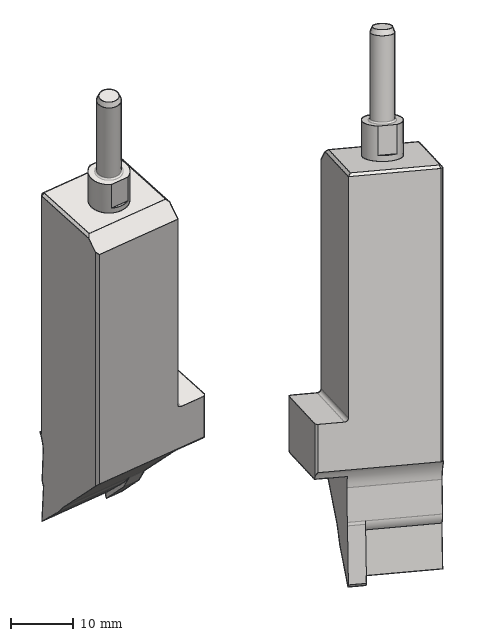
import cadquery as cq
import math

WIDTH = 16.0
DEPTH = 16.0
TOP_Z = 70.0
EDGE_CHAMFER = 0.5
CORNER_X = 2.8
CORNER_Z = 2.5

SLOPE_START_Z = 19.5
SLOPE_END = (6.6, 8.6)
RELIEF_TOP_Z = 19.9
NECK_TOP = (0.9, 16.6)
NECK_BOTTOM = (0.6, 10.8)
FLANK_TOP = (1.0, 9.2)
NOSE_POINT = (0.55, 1.6)
NOSE_RELIEF = (5.1, 6.6)

TIP_THICKNESS = 3.0
TIP_POINT = (0.3, 0.0)
TIP_EDGE_BOTTOM = (0.0, 0.5)
TIP_EDGE_TOP = (0.55, 10.3)
TIP_HEEL = (5.05, 5.6)

TOTAL_DEPTH = 21.5
LUG_BOTTOM_Z = 18.6
LUG_TOP_Z = 28.1
LUG_FILLET = 0.6
LUG_CHAMFER = 0.4

SCREW_X = WIDTH / 2
SCREW_Y = DEPTH / 2
SCREW_TOP_Z = 91.75
COLLAR_DIAMETER = 6.8
COLLAR_HEIGHT = 6.0
FLAT_WIDTH = 6.0
FLAT_BASE = 1.0
ROD_DIAMETER = 4.0
ROD_FILLET = 0.3
ROD_CHAMFER_DEPTH = 0.9
ROD_CHAMFER_INSET = 0.4


def extrude_along_y(outline, start_y, end_y):
    """Extrude an XZ outline in +Y from start_y to end_y."""
    return outline.extrude(start_y - end_y).translate((0, start_y, 0))


def arc_middle(start, end, bulge):
    """Middle point of an arc, offset to the left of the chord by bulge."""
    dx = end[0] - start[0]
    dz = end[1] - start[1]
    length = math.hypot(dx, dz)
    middle_x = (start[0] + end[0]) / 2 - bulge * dz / length
    middle_z = (start[1] + end[1]) / 2 + bulge * dx / length
    return (middle_x, middle_z)


def make_block():
    """Upper block with chamfered -Y/-X edge, top edges and upper +X corner."""
    height = TOP_Z - RELIEF_TOP_Z
    block = cq.Workplane("XY").box(WIDTH, DEPTH, height, centered=False)
    block = block.faces("<Y").edges("|Z and <X").chamfer(EDGE_CHAMFER).translate((0, 0, RELIEF_TOP_Z))
    block = block.faces(">Z").edges().chamfer(EDGE_CHAMFER)
    bevel = cq.Workplane("XZ").polyline([
        (WIDTH - CORNER_X, TOP_Z),
        (WIDTH, TOP_Z),
        (WIDTH, TOP_Z - CORNER_Z),
    ]).close()
    return block.cut(extrude_along_y(bevel, 0, DEPTH))


def nose_outline():
    """Sloped nose with a concave relief and a stepped flank on its -X side."""
    relief_bulge = 0.23
    flank_bulge = 0.14
    relief_top = (0, RELIEF_TOP_Z)
    return (
        cq.Workplane("XZ")
        .moveTo(*relief_top)
        .threePointArc(arc_middle(relief_top, NECK_TOP, relief_bulge), NECK_TOP)
        .lineTo(*NECK_BOTTOM)
        .threePointArc(arc_middle(NECK_BOTTOM, FLANK_TOP, -flank_bulge), FLANK_TOP)
        .lineTo(*NOSE_POINT)
        .lineTo(*NOSE_RELIEF)
        .lineTo(*SLOPE_END)
        .lineTo(WIDTH, SLOPE_START_Z)
        .lineTo(WIDTH, RELIEF_TOP_Z)
        .close()
    )


def make_tip():
    """Thin cutting tip that stands proud of the nose."""
    outline = cq.Workplane("XZ").polyline([
        TIP_POINT,
        TIP_EDGE_BOTTOM,
        TIP_EDGE_TOP,
        NECK_BOTTOM,
        SLOPE_END,
        TIP_HEEL,
    ]).close()
    return extrude_along_y(outline, DEPTH - TIP_THICKNESS, DEPTH)


def make_lug():
    """Hook lug on the +Y side, trimmed by the nose outline at its lower end."""
    nose_part = extrude_along_y(nose_outline(), DEPTH, TOTAL_DEPTH)
    below_lug = cq.Workplane("XY").box(WIDTH, TOTAL_DEPTH, LUG_BOTTOM_Z, centered=False)
    upper_part = (
        cq.Workplane("XY")
        .box(WIDTH, TOTAL_DEPTH - DEPTH, LUG_TOP_Z - RELIEF_TOP_Z, centered=False)
        .translate((0, DEPTH, RELIEF_TOP_Z))
    )
    lug = upper_part.union(nose_part.cut(below_lug))
    return lug.faces(">Y").edges("|Z").chamfer(LUG_CHAMFER)


def make_lug_fillet():
    """Concave fillet between the block and the top of the lug."""
    corner_y = DEPTH + LUG_FILLET
    corner_z = LUG_TOP_Z + LUG_FILLET
    outline = (
        cq.Workplane("YZ")
        .moveTo(DEPTH, LUG_TOP_Z)
        .lineTo(corner_y, LUG_TOP_Z)
        .radiusArc((DEPTH, corner_z), LUG_FILLET)
        .close()
    )
    return outline.extrude(WIDTH)


def make_long_edge_chamfer():
    """Material removed along the whole -Y/+X edge, down to the slope."""
    outline = cq.Workplane("XY").polyline([
        (WIDTH - EDGE_CHAMFER, 0),
        (WIDTH, 0),
        (WIDTH, EDGE_CHAMFER),
    ]).close()
    return outline.extrude(TOP_Z)


def make_holder():
    nose = extrude_along_y(nose_outline(), 0, DEPTH)
    holder = make_block().union(nose).union(make_tip()).union(make_lug())
    return holder.union(make_lug_fillet()).cut(make_long_edge_chamfer())


def make_screw():
    """Rod on a collar with two flats facing -X and +X."""
    collar = cq.Workplane("XY").circle(COLLAR_DIAMETER / 2).extrude(COLLAR_HEIGHT)
    flat_height = COLLAR_HEIGHT - FLAT_BASE
    across_flats = (
        cq.Workplane("XY")
        .box(FLAT_WIDTH, COLLAR_DIAMETER, flat_height, centered=(True, True, False))
        .translate((0, 0, FLAT_BASE))
    )
    base = cq.Workplane("XY").circle(COLLAR_DIAMETER / 2).extrude(FLAT_BASE)
    collar = collar.intersect(across_flats).union(base)

    radius = ROD_DIAMETER / 2
    rod_top = SCREW_TOP_Z - TOP_Z
    rod = (
        cq.Workplane("XZ")
        .moveTo(0, COLLAR_HEIGHT)
        .lineTo(radius + ROD_FILLET, COLLAR_HEIGHT)
        .radiusArc((radius, COLLAR_HEIGHT + ROD_FILLET), ROD_FILLET)
        .lineTo(radius, rod_top - ROD_CHAMFER_DEPTH)
        .lineTo(radius - ROD_CHAMFER_INSET, rod_top)
        .lineTo(0, rod_top)
        .close()
        .revolve(360, (0, 0, 0), (0, 1, 0))
    )
    return collar.union(rod).translate((SCREW_X, SCREW_Y, TOP_Z))


holder = make_holder()
screw = make_screw()
result = cq.Compound.makeCompound([*holder.solids().vals(), *screw.solids().vals()])